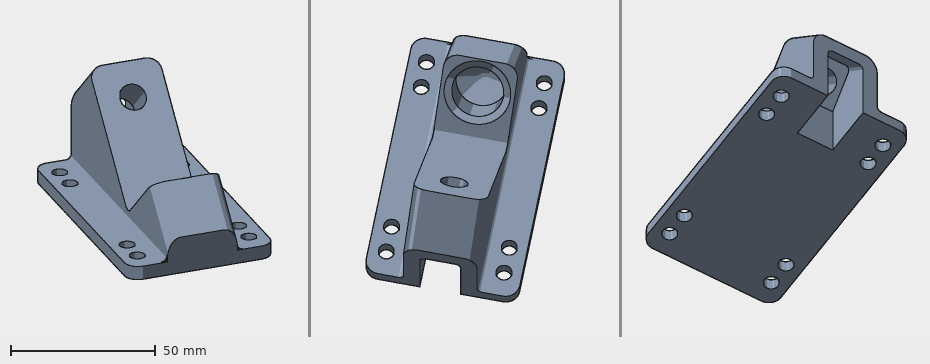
import cadquery as cq
import math

length = 90.0
base_width = 54.0
base_thickness = 5.0
base_corner_radius = 4.95
foot_fillet = 2.0

mount_hole_diameter = 5.5
mount_hole_x_offsets = (26.7, 36.3)
mount_hole_y_offset = 20.7

tilt = 43.0
block_width = 26.0
block_edge_radius = 5.0
valley_radius = 3.0
tall_peak_x = 16.2
tall_peak_z = 47.0
low_peak_x = 75.9
low_peak_z = 28.8

cavity_width = 14.4
cavity_edge_radius = 2.0
cavity_mouth_height = 25.4
cavity_back_height = 20.9
cavity_cover = 15.2

cross_hole_diameter = 9.5
cross_hole_x = 25.2
socket_diameter = 18.1
socket_depth = 12.4
socket_x = 66.9
socket_rim_diameter = 23.2
socket_rim_depth = 1.0
socket_tip_angle = 118.0

gentle_slope = math.tan(math.radians(tilt))
steep_slope = 1 / gentle_slope
sin_tilt = math.sin(math.radians(tilt))
cos_tilt = math.cos(math.radians(tilt))
left_height = tall_peak_z - gentle_slope * tall_peak_x
right_height = low_peak_z - steep_slope * (length - low_peak_x)


def tall_face_z(x):
    """Height of the valley face that falls from the tall peak."""
    return tall_peak_z - steep_slope * (x - tall_peak_x)


def low_face_z(x):
    """Height of the valley face that rises to the low peak."""
    return low_peak_z - gentle_slope * (low_peak_x - x)


def extrude_across(points, width):
    """Extrude an XZ outline by the given width, centred on Y = 0."""
    return cq.Workplane("XZ").polyline(points).close().extrude(width / 2, both=True)


def make_base():
    plate = cq.Workplane("XY").rect(length, base_width).extrude(base_thickness)
    plate = plate.translate((length / 2, 0, 0))
    return plate.edges("|Z").fillet(base_corner_radius)


def make_block():
    valley_x = (tall_face_z(0) - low_face_z(0)) / (gentle_slope + steep_slope)
    valley_z = tall_face_z(valley_x)
    block = extrude_across(
        [
            (0, 0),
            (0, left_height),
            (tall_peak_x, tall_peak_z),
            (valley_x, valley_z),
            (low_peak_x, low_peak_z),
            (length, right_height),
            (length, 0),
        ],
        block_width,
    )
    valley_edge = cq.selectors.NearestToPointSelector((valley_x, 0, valley_z))
    block = block.edges(valley_edge).fillet(valley_radius)

    for x, z in (
        (tall_peak_x / 2, (left_height + tall_peak_z) / 2),
        ((low_peak_x + length) / 2, (right_height + low_peak_z) / 2),
    ):
        slope_face = cq.selectors.NearestToPointSelector((x, 0, z))
        block = block.faces(slope_face).edges("not |Y").fillet(block_edge_radius)
    return block


def make_foot_fillet(side):
    """Concave strip between the block wall and the flange; side is -1 or 1."""
    wall_y = side * block_width / 2
    outer_y = wall_y + side * foot_fillet
    top_z = base_thickness + foot_fillet
    rounding_end_z = right_height - block_edge_radius / sin_tilt
    strip_length = length - (top_z - rounding_end_z) / steep_slope
    arc_inset = foot_fillet * (1 - math.sqrt(0.5))
    return (
        cq.Workplane("YZ")
        .moveTo(outer_y, base_thickness)
        .threePointArc(
            (wall_y + side * arc_inset, base_thickness + arc_inset),
            (wall_y, top_z),
        )
        .lineTo(wall_y, base_thickness)
        .close()
        .extrude(strip_length)
    )


def make_cavity():
    vertical_cover = cavity_cover / sin_tilt
    back_top_z = tall_face_z(0) - vertical_cover
    back_x = (back_top_z - cavity_back_height) / steep_slope
    ridge_x = (back_top_z - cavity_mouth_height) / (gentle_slope + steep_slope)
    ridge_z = cavity_mouth_height + gentle_slope * ridge_x
    cavity = extrude_across(
        [
            (0, 0),
            (0, cavity_mouth_height),
            (ridge_x, ridge_z),
            (back_x, cavity_back_height),
            (back_x, 0),
        ],
        cavity_width,
    )
    ceiling = cq.selectors.NearestToPointSelector(
        (ridge_x / 2, 0, (cavity_mouth_height + ridge_z) / 2)
    )
    return cavity.faces(ceiling).edges("not |Y").fillet(cavity_edge_radius)


def make_cross_hole():
    start = cq.Vector(cross_hole_x, 0, tall_face_z(cross_hole_x))
    inward = cq.Vector(-cos_tilt, 0, -sin_tilt)
    reach = cavity_cover + 0.9
    return cq.Solid.makeCylinder(cross_hole_diameter / 2, reach, start, inward)


def make_socket():
    radius = socket_diameter / 2
    rim_radius = socket_rim_diameter / 2
    tip_depth = socket_depth + radius / math.tan(math.radians(socket_tip_angle / 2))
    profile_plane = cq.Plane(
        origin=(socket_x, 0, low_face_z(socket_x)),
        xDir=(0, 1, 0),
        normal=(cos_tilt, 0, sin_tilt),
    )
    return (
        cq.Workplane(profile_plane)
        .polyline(
            [
                (0, 0),
                (rim_radius, 0),
                (radius, -socket_rim_depth),
                (radius, -socket_depth),
                (0, -tip_depth),
            ]
        )
        .close()
        .revolve(360, (0, 0), (0, 1))
    )


mount_points = [
    (length / 2 + x_side * x_offset, y_side * mount_hole_y_offset)
    for x_side in (-1, 1)
    for x_offset in mount_hole_x_offsets
    for y_side in (-1, 1)
]
mount_holes = (
    cq.Workplane("XY")
    .pushPoints(mount_points)
    .circle(mount_hole_diameter / 2)
    .extrude(base_thickness)
)

result = make_base().union(make_block())
for side in (-1, 1):
    result = result.union(make_foot_fillet(side))
result = result.cut(mount_holes).cut(make_cavity()).cut(make_cross_hole()).cut(make_socket())